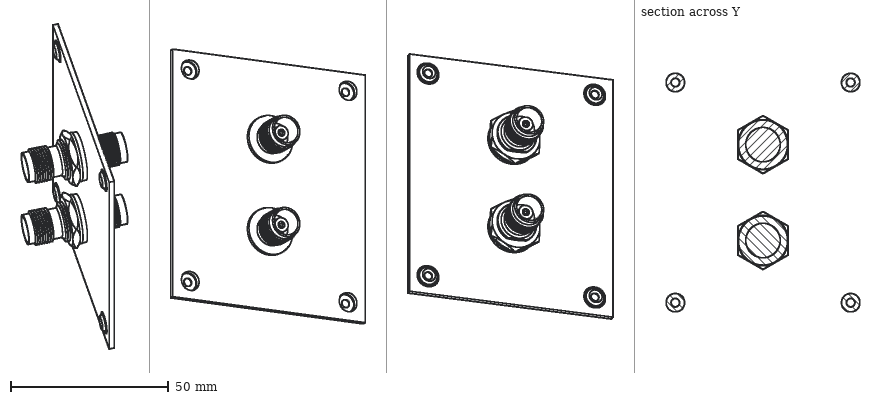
import cadquery as cq
import math


PLATE_WIDTH = 68.1
PLATE_HEIGHT = 82.0
PLATE_THICKNESS = 1.7

WASHER_SPACING_X = 55.8
WASHER_SPACING_Z = 70.1
WASHER_HOLE_RADIUS = 1.3
WASHER_BASE_RADIUS = 3.6
WASHER_SHOULDER_RADIUS = 2.95
WASHER_SHOULDER_HEIGHT = 0.25
WASHER_TIP_RADIUS = 2.1
WASHER_HEIGHT = 1.1
COUNTERSINK_DEPTH = 0.65
MOUNTING_HOLE_RADIUS = 3.1

CONNECTOR_SPACING = 30.5
CONNECTOR_FRONT_LENGTH = 18.4
CONNECTOR_LENGTH = 32.5
BARREL_RADIUS = 4.8
FLANGE_RADIUS = 7.7
FLANGE_THICKNESS = 1.15

FRONT_THREAD_START = 10.25
FRONT_THREAD_LENGTH = 6.1
FRONT_THREAD_RINGS = 7
FRONT_THREAD_PITCH = FRONT_THREAD_LENGTH / FRONT_THREAD_RINGS
FRONT_THREAD_RADIUS = 5.6
REAR_THREAD_START = 5.1
REAR_THREAD_PITCH = 0.7
REAR_THREAD_RINGS = 9
REAR_THREAD_RADIUS = 5.3

BUSHING_RADIUS = 5.6
BUSHING_LENGTH = 7.4
BUSHING_THREAD_RADIUS = 6.5
BUSHING_THREAD_RINGS = 2
BUSHING_FLAT_DISTANCE = 5.7

SOCKET_RADIUS = 4.2
SOCKET_DEPTH = 7.4
INSULATOR_RADIUS = 2.3
INSULATOR_RECESS = 3.3
CONTACT_RECESS_RADIUS = 1.1
CONTACT_RECESS_DEPTH = 0.4
CONTACT_HOLE_RADIUS = 0.5
CONTACT_HOLE_DEPTH = 2.5

COLLAR_RADIUS = 7.9
COLLAR_LENGTH = 1.5
NUT_ACROSS_FLATS = 16.0
NUT_FACE_LENGTH = 0.9
HEX_LENGTH = 2.5
HEX_CHAMFER_DEPTH = 1.1

NUT_LENGTH = COLLAR_LENGTH + NUT_FACE_LENGTH + HEX_LENGTH
FRONT_END = -CONNECTOR_FRONT_LENGTH
REAR_END = FRONT_END + CONNECTOR_LENGTH


def revolved(points):
    """Solid of revolution about the Y axis from (radius, y) points."""
    return cq.Workplane("XY").polyline(points).close().revolve(360, (0, 0, 0), (0, 1, 0))


def cylinder(radius, start, end):
    """Cylinder on the Y axis between two Y positions."""
    return revolved([(0, start), (radius, start), (radius, end), (0, end)])


def thread_points(start, pitch, rings, root_radius, crest_radius):
    """Saw-tooth outline; a negative pitch runs toward the front."""
    points = [(root_radius, start)]
    for ring in range(rings):
        points.append((crest_radius, start + (ring + 0.5) * pitch))
        points.append((root_radius, start + (ring + 1) * pitch))
    return points


def bushing_flat_cutter():
    """Block below the flat of the bushing's threaded end."""
    size = 2 * BUSHING_THREAD_RADIUS
    length = BUSHING_LENGTH - NUT_LENGTH
    cutter = cq.Workplane("XY").box(size, length, size)
    return cutter.translate((0, -NUT_LENGTH - length / 2, -BUSHING_FLAT_DISTANCE - size / 2))


def socket(end, inward):
    """Space removed from a connector end; inward is +1 or -1 along Y."""
    tip = end + inward * INSULATOR_RECESS
    floor = end + inward * SOCKET_DEPTH
    recess_floor = tip + inward * CONTACT_RECESS_DEPTH
    hole_floor = recess_floor + inward * CONTACT_HOLE_DEPTH
    return revolved([
        (0, end),
        (SOCKET_RADIUS, end),
        (SOCKET_RADIUS, floor),
        (INSULATOR_RADIUS, floor),
        (INSULATOR_RADIUS, tip),
        (CONTACT_RECESS_RADIUS, tip),
        (CONTACT_RECESS_RADIUS, recess_floor),
        (CONTACT_HOLE_RADIUS, recess_floor),
        (CONTACT_HOLE_RADIUS, hole_floor),
        (0, hole_floor),
    ])


def make_connector():
    bushing_thread = thread_points(
        -NUT_LENGTH, -FRONT_THREAD_PITCH, BUSHING_THREAD_RINGS, BUSHING_RADIUS, BUSHING_THREAD_RADIUS
    )
    bushing_points = [
        (BUSHING_RADIUS, PLATE_THICKNESS),
        *bushing_thread,
        (BARREL_RADIUS, -BUSHING_LENGTH),
    ]
    front_thread = thread_points(
        -FRONT_THREAD_START, -FRONT_THREAD_PITCH, FRONT_THREAD_RINGS, BARREL_RADIUS, FRONT_THREAD_RADIUS
    )
    rear_thread = thread_points(
        REAR_THREAD_START, REAR_THREAD_PITCH, REAR_THREAD_RINGS, BARREL_RADIUS, REAR_THREAD_RADIUS
    )
    flange_rear = PLATE_THICKNESS + FLANGE_THICKNESS
    flange_points = [
        (BARREL_RADIUS, flange_rear),
        (FLANGE_RADIUS, flange_rear),
        (FLANGE_RADIUS, PLATE_THICKNESS),
    ]
    outline = [(0, REAR_END), (BARREL_RADIUS, REAR_END)]
    outline += rear_thread[::-1] + flange_points + bushing_points + front_thread
    outline += [(BARREL_RADIUS, FRONT_END), (0, FRONT_END)]
    body = revolved(outline).cut(bushing_flat_cutter())
    return body.cut(socket(FRONT_END, 1)).cut(socket(REAR_END, -1))


def make_nut():
    hex_rear = -COLLAR_LENGTH - NUT_FACE_LENGTH
    flat_radius = NUT_ACROSS_FLATS / 2
    corner_radius = flat_radius / math.cos(math.pi / 6)
    hexagon = (
        cq.Workplane("XZ", origin=(0, hex_rear, 0))
        .transformed(rotate=(0, 0, 90))
        .polygon(6, 2 * corner_radius)
        .extrude(HEX_LENGTH)
    )
    chamfer_envelope = revolved([
        (0, hex_rear),
        (flat_radius, hex_rear),
        (corner_radius, hex_rear - HEX_CHAMFER_DEPTH),
        (corner_radius, -NUT_LENGTH + HEX_CHAMFER_DEPTH),
        (flat_radius, -NUT_LENGTH),
        (0, -NUT_LENGTH),
    ])
    collar = cylinder(COLLAR_RADIUS, -COLLAR_LENGTH, 0)
    nut_face = cylinder(flat_radius, hex_rear, -COLLAR_LENGTH)
    bore = cylinder(BUSHING_RADIUS, -NUT_LENGTH, 0)
    return hexagon.intersect(chamfer_envelope).union(nut_face).union(collar).cut(bore)


def make_cup_washer():
    return revolved([
        (WASHER_HOLE_RADIUS, 0),
        (WASHER_BASE_RADIUS, 0),
        (WASHER_SHOULDER_RADIUS, -WASHER_SHOULDER_HEIGHT),
        (WASHER_TIP_RADIUS, -WASHER_HEIGHT),
        (WASHER_HOLE_RADIUS, -WASHER_HEIGHT + COUNTERSINK_DEPTH),
    ])


def make_plate(connector_places, washer_places):
    plate = cq.Workplane("XY").box(PLATE_WIDTH, PLATE_THICKNESS, PLATE_HEIGHT)
    plate = plate.translate((0, PLATE_THICKNESS / 2, 0))
    connector_hole = cylinder(BUSHING_RADIUS, 0, PLATE_THICKNESS)
    for place in connector_places:
        plate = plate.cut(connector_hole.translate(place))
    mounting_hole = cylinder(MOUNTING_HOLE_RADIUS, 0, PLATE_THICKNESS)
    for place in washer_places:
        plate = plate.cut(mounting_hole.translate(place))
    return plate


connector_places = [(0, 0, side * CONNECTOR_SPACING / 2) for side in (-1, 1)]
washer_places = [
    (side_x * WASHER_SPACING_X / 2, 0, side_z * WASHER_SPACING_Z / 2)
    for side_x in (-1, 1)
    for side_z in (-1, 1)
]

plate = make_plate(connector_places, washer_places)
connectors = [make_connector().translate(place) for place in connector_places]
nuts = [make_nut().translate(place) for place in connector_places]
cup_washers = [make_cup_washer().translate(place) for place in washer_places]

bodies = [plate, *connectors, *nuts, *cup_washers]
result = cq.Compound.makeCompound([body.val() for body in bodies])